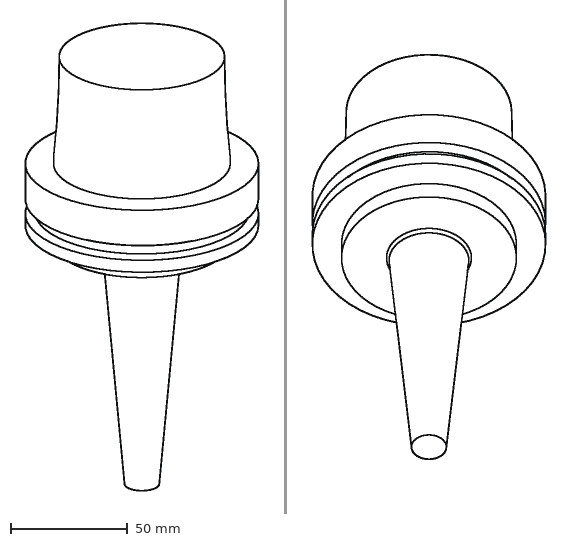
import cadquery as cq

total_length = 200.0

shank_length = 50.0
shank_top_diameter = 71.0
shank_mid_diameter = 72.2
shank_base_diameter = 75.8
shank_collar_height = 2.0

flange_diameter = 100.0
flange_thickness = 29.0
groove_diameter = 92.0
groove_top_depth = 16.5
groove_mouth_width = 6.8
groove_floor_width = 4.0
groove_upper_chamfer = 1.5

boss_diameter = 75.0
boss_height = 8.0
nose_shoulder_diameter = 36.5
nose_base_diameter = 34.2
nose_shoulder_height = 1.5
nose_tip_diameter = 15.0

flange_top = total_length - shank_length
collar_top = flange_top + shank_collar_height
shank_middle = (total_length + collar_top) / 2
groove_top = flange_top - groove_top_depth
groove_floor_top = groove_top - groove_upper_chamfer
groove_floor_bottom = groove_floor_top - groove_floor_width
groove_bottom = groove_top - groove_mouth_width
flange_bottom = flange_top - flange_thickness
boss_bottom = flange_bottom - boss_height
nose_base = boss_bottom - nose_shoulder_height

profile = (
    cq.Workplane("XZ")
    .lineTo(nose_tip_diameter / 2, 0)
    .lineTo(nose_base_diameter / 2, nose_base)
    .lineTo(nose_shoulder_diameter / 2, boss_bottom)
    .lineTo(boss_diameter / 2, boss_bottom)
    .lineTo(boss_diameter / 2, flange_bottom)
    .lineTo(flange_diameter / 2, flange_bottom)
    .lineTo(flange_diameter / 2, groove_bottom)
    .lineTo(groove_diameter / 2, groove_floor_bottom)
    .lineTo(groove_diameter / 2, groove_floor_top)
    .lineTo(flange_diameter / 2, groove_top)
    .lineTo(flange_diameter / 2, flange_top)
    .lineTo(shank_base_diameter / 2, flange_top)
    .lineTo(shank_base_diameter / 2, collar_top)
    .threePointArc(
        (shank_mid_diameter / 2, shank_middle),
        (shank_top_diameter / 2, total_length),
    )
    .lineTo(0, total_length)
    .close()
)

result = profile.revolve(360, (0, 0, 0), (0, 1, 0))